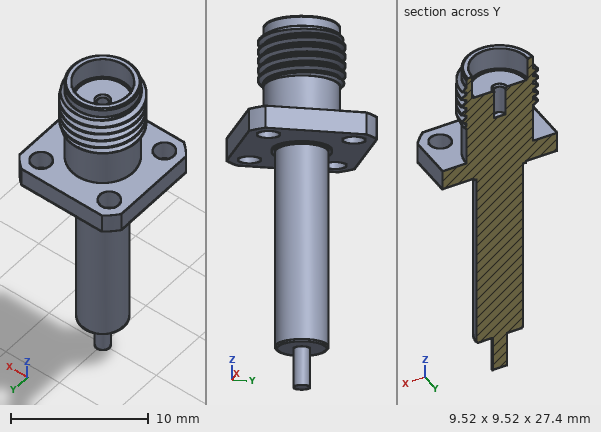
import cadquery as cq

total_height = 27.43
barrel_bottom = 2.94
flange_bottom = 18.05
flange_top = 19.72
thread_bottom = 22.85
thread_top = 26.63

pin_diameter = 1.2
barrel_diameter = 3.9
shoulder_diameter = 4.4
body_diameter = 5.57
thread_diameter = 6.36

shoulder_height = 0.15
barrel_chamfer = 0.15
rim_chamfer = 0.1

flange_width = 9.52
flange_corner_diameter = 12.12
hole_diameter = 1.7
hole_spacing = 6.36

socket_diameter = 4.58
socket_depth = 1.85
recess_diameter = 4.4
recess_depth = 0.1
contact_mouth_diameter = 1.2
contact_bore_diameter = 0.9
contact_depth = 2.47

four_turn_rise = 2.83
thread_pitch = four_turn_rise / 4
crest_height = 25.7
crest_width = 0.1
ridge_base_width = 0.63
root_overlap = 0.05
thread_end_chamfer = 0.38
trim_margin = 0.27


def cylinder(diameter, bottom, top):
    return cq.Workplane("XY").workplane(offset=bottom).circle(diameter / 2).extrude(top - bottom)


def make_flange():
    thickness = flange_top - flange_bottom
    square = (
        cq.Workplane("XY")
        .workplane(offset=flange_bottom)
        .rect(flange_width, flange_width)
        .extrude(thickness)
    )
    flange = square.intersect(cylinder(flange_corner_diameter, flange_bottom, flange_top))
    return (
        flange.faces(">Z")
        .workplane()
        .rect(hole_spacing, hole_spacing, forConstruction=True)
        .vertices()
        .hole(hole_diameter)
    )


def make_thread():
    """Helical ridge with tapered ends; its base is buried in the body."""
    turns_below = int((crest_height - thread_bottom) / thread_pitch) + 2
    turns_above = int((thread_top - crest_height) / thread_pitch) + 2
    start = crest_height - turns_below * thread_pitch
    length = (turns_below + turns_above) * thread_pitch
    root_radius = body_diameter / 2 - root_overlap
    helix = cq.Wire.makeHelix(thread_pitch, length, root_radius, cq.Vector(0, 0, start))
    ridge = (
        cq.Workplane("XZ")
        .moveTo(root_radius, start - ridge_base_width / 2)
        .lineTo(thread_diameter / 2, start - crest_width / 2)
        .lineTo(thread_diameter / 2, start + crest_width / 2)
        .lineTo(root_radius, start + ridge_base_width / 2)
        .close()
        .sweep(cq.Workplane(helix), isFrenet=True)
    )
    trim = cylinder(thread_diameter + 2 * trim_margin, thread_bottom, thread_top)
    trim = trim.faces("<Z or >Z").chamfer(thread_end_chamfer + trim_margin)
    return ridge.intersect(trim)


def make_socket():
    """Space removed from the body: bore, shallow recess and countersunk contact hole."""
    bore_floor = total_height - socket_depth
    recess_floor = bore_floor - recess_depth
    mouth_depth = (contact_mouth_diameter - contact_bore_diameter) / 2
    bore = cylinder(socket_diameter, bore_floor, total_height)
    recess = cylinder(recess_diameter, recess_floor, bore_floor)
    contact = cylinder(contact_bore_diameter, recess_floor - contact_depth, recess_floor)
    mouth = cq.Workplane(
        cq.Solid.makeCone(
            contact_bore_diameter / 2,
            contact_mouth_diameter / 2,
            mouth_depth,
            cq.Vector(0, 0, recess_floor - mouth_depth),
        )
    )
    return bore.union(recess).union(contact).union(mouth)


pin = cylinder(pin_diameter, 0, barrel_bottom)
barrel = cylinder(barrel_diameter, barrel_bottom, flange_bottom).faces("<Z").chamfer(barrel_chamfer)
shoulder = cylinder(shoulder_diameter, flange_bottom - shoulder_height, flange_bottom)
body = cylinder(body_diameter, flange_top, total_height).faces(">Z").chamfer(rim_chamfer)

threaded_body = body.union(make_thread()).cut(make_socket())
result = threaded_body.union(make_flange()).union(shoulder).union(barrel).union(pin)